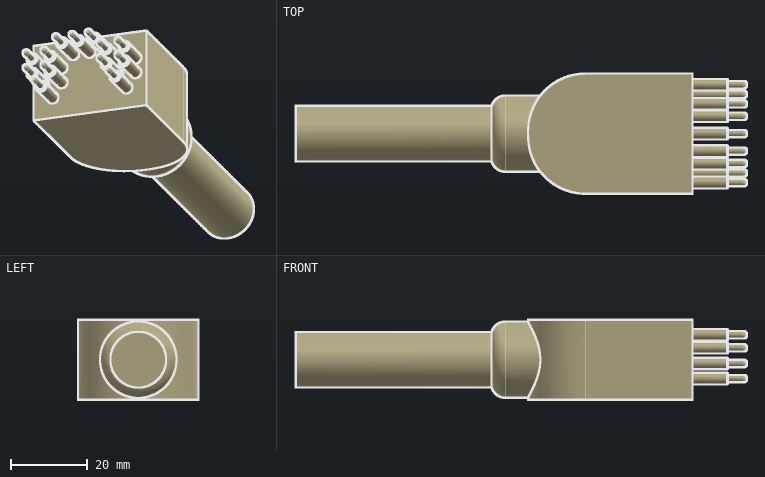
import cadquery as cq

overall_length = 118.0

body_length = 43.0
body_width = 31.5
body_height = 21.0
body_corner_radius = 15.0

collar_diameter = 20.0
collar_reach = 9.7
collar_edge_radius = 3.75
cable_diameter = 14.6

pin_length = 14.2
sleeve_diameter = 3.1
sleeve_length = 9.3
sleeve_chamfer = 0.3
tip_diameter = 2.0
tip_rounding = 0.8

top_row_height = 6.5
top_row_pitch = 4.55
group_center_offset = 10.3
group_half_width = 2.5
group_upper_height = 3.1
group_middle_height = -1.0
group_lower_height = -4.95

body_back = -body_length
collar_back = body_back - collar_reach
cable_end = pin_length - overall_length
overlap_x = body_back / 2


def make_body():
    """Flat block with its two rear vertical edges rounded."""
    block = cq.Workplane("XY").box(body_length, body_width, body_height)
    block = block.translate((body_back / 2, 0, 0))
    return block.edges("|Z and <X").fillet(body_corner_radius)


def make_rod(start_x, end_x, diameter, y=0.0, z=0.0):
    """Cylinder along X between two stations."""
    plane = cq.Workplane("YZ", origin=(start_x, y, z))
    return plane.circle(diameter / 2).extrude(end_x - start_x)


def make_collar():
    collar = make_rod(collar_back, overlap_x, collar_diameter)
    return collar.faces("<X").edges().fillet(collar_edge_radius)


def make_cable():
    return make_rod(cable_end, overlap_x, cable_diameter)


def make_pin(y, z):
    """Insulating sleeve with a chamfered rim and a thinner, rounded contact tip."""
    sleeve = make_rod(0, sleeve_length, sleeve_diameter, y, z)
    sleeve = sleeve.faces(">X").edges().chamfer(sleeve_chamfer)
    tip = make_rod(0, pin_length, tip_diameter, y, z)
    tip = tip.faces(">X").edges().fillet(tip_rounding)
    return sleeve.union(tip)


def pin_positions():
    """(Y, Z) of every pin, symmetric about the middle plane of the body."""
    inner = group_center_offset - group_half_width
    outer = group_center_offset + group_half_width
    positions = [(0.0, top_row_height)]
    for side in (-1, 1):
        positions.append((side * top_row_pitch, top_row_height))
        for distance in (inner, outer):
            positions.append((side * distance, group_upper_height))
            positions.append((side * distance, group_middle_height))
        positions.append((side * group_center_offset, group_lower_height))
    return positions


result = make_body().union(make_collar()).union(make_cable())
for pin_y, pin_z in pin_positions():
    result = result.union(make_pin(pin_y, pin_z))